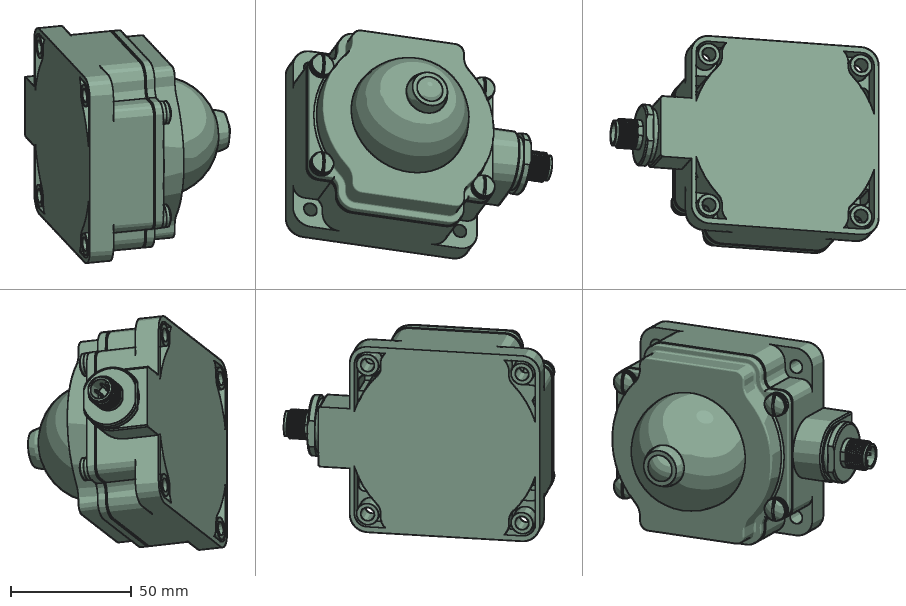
import cadquery as cq
import math


half_width = 40.0
half_height = 40.4
flange_corner_radius = 7.6
flange_thickness = 10.2
mount_hole_offset = 32.49
mount_hole_diameter = 5.7

rim_half = 38.0
rim_corner_radius = 5.5
pocket_depth = 8.0
spacer_diameter = 9.2
pocket_outline_growth = 2.6

cover_half_height = 37.5
shoulder_half_width = 20.3
shoulder_radius = 4.1
disc_radius = 37.3
throat_radius = 8.1

housing_growth = half_height - cover_half_height
seam_y = 27.7
seam_width = 0.5
seam_inset = 0.3
lid_bottom_y = seam_y + seam_width
lid_top_y = 32.0
lid_edge_fillet = 0.7
cover_top_y = 41.6
cover_edge_fillet = 0.8
cover_foot_fillet = 0.9

arm_radius = 4.9
screw_x = half_width - arm_radius
screw_z = 22.6
arm_half_height = screw_z + arm_radius
arm_wall = 2.3
arm_cavity_depth = 21.9
arm_cavity_inner_z = 18.4

screw_seat_radius = 4.8
screw_seat_y = 34.0
screw_seat_chamfer = 0.8
screw_head_radius = 4.7
screw_rim_y = 34.7
screw_top_y = 36.3
screw_slot_width = 0.9

dome_radius = 25.0
cap_radius = 8.7
cap_straight_y = 66.8
cap_shoulder_y = 70.1
cap_shoulder_radius = 7.6
cap_bulge_radius = 8.2
cap_bulge_y = 68.6
lens_radius = 5.6
total_depth = 72.3

connector_y = 14.7
block_half_height = 13.0
block_length = 13.2
block_chamfer = 0.7
block_overlap = 1.1
block_end_x = -half_width - block_length

seal_radius = 11.4
seal_bulge = 0.3
seal_length = 2.2
nut_radius = 12.7
nut_length = 3.1
nut_chamfer = 0.7
nut_flat_offset = 11.4
neck_radius = 6.1
neck_length = 2.1
stem_flat_offset = 5.8
thread_root_radius = 5.5
thread_pitch = 1.0
thread_turns = 8
tip_radius = 5.3
connector_end_x = half_width - 109.6
bore_radius = 4.2
bore_depth = 8.8
pin_count = 4
pin_circle_radius = 2.5
pin_radius = 0.49
pin_recess = 1.6
key_tip_radius = 3.1
key_angle = 135
key_half_width = 0.7


def plane_at(y):
    """Work plane facing the mounting side, drawn in X and Z at height y."""
    return cq.Workplane("XZ", origin=(0, y, 0))


def raise_between(y0, y1, draw):
    """Extrude the outline made by draw() from y0 to y1."""
    return draw(plane_at(y0)).extrude(y0 - y1)


def rounded_block(half_x, half_z, radius, y0, y1):
    block = raise_between(y0, y1, lambda wp: wp.rect(2 * half_x, 2 * half_z))
    return block.edges("|Y").fillet(radius)


def cylinder(radius, x, z, y0, y1):
    return raise_between(y0, y1, lambda wp: wp.center(x, z).circle(radius))


def at_corners(x, z):
    return [(sx * x, sz * z) for sx in (-1, 1) for sz in (-1, 1)]


def neck(growth, y0, y1):
    """Disc blended into the upper and lower blocks, offset outwards by growth."""
    top = cover_half_height + growth
    convex = shoulder_radius + growth
    concave = throat_radius - growth
    disc = disc_radius + growth
    shoulder_z = cover_half_height - shoulder_radius
    wall_x = shoulder_half_width + convex
    throat_x = wall_x + concave
    throat_z = math.sqrt((disc + concave) ** 2 - throat_x**2)
    throat_angle = math.atan2(throat_z, throat_x)
    mid_throat = math.pi + throat_angle / 2
    diagonal = math.sqrt(0.5)

    def on_disc(angle):
        return (disc * math.cos(angle), disc * math.sin(angle))

    def quadrant(wp):
        return (
            wp.moveTo(0, 0)
            .lineTo(0, top)
            .lineTo(shoulder_half_width, top)
            .threePointArc(
                (shoulder_half_width + convex * diagonal, shoulder_z + convex * diagonal),
                (wall_x, shoulder_z),
            )
            .lineTo(wall_x, throat_z)
            .threePointArc(
                (throat_x + concave * math.cos(mid_throat), throat_z + concave * math.sin(mid_throat)),
                on_disc(throat_angle),
            )
            .threePointArc(on_disc(throat_angle / 2), on_disc(0))
            .close()
        )

    quarter = raise_between(y0, y1, quadrant)
    half = quarter.union(quarter.mirror("YZ"))
    return half.union(half.mirror("XY")).clean()


def housing_layer(inset, y0, y1):
    """Neck outline together with the four screw arms."""
    arms = rounded_block(half_width - inset, arm_half_height - inset, arm_radius - inset, y0, y1)
    sides = raise_between(y0, y1, lambda wp: wp.rect(2 * (half_width - inset), 2 * half_height))
    return neck(housing_growth - inset, y0, y1).intersect(sides).union(arms).clean()


def make_flange():
    return rounded_block(half_width, half_height, flange_corner_radius, 0, flange_thickness)


def make_housing():
    seam = housing_layer(seam_inset, seam_y, lid_bottom_y)
    return housing_layer(0, flange_thickness, seam_y).union(seam)


def lid_ledge(solid):
    """Flat top of the lid, a ring-shaped face around the cover."""
    return solid.faces(cq.selectors.NearestToPointSelector((0, lid_top_y, 0))).val()


def make_cover():
    """Lid with the raised cover on it, rounded at both rims and at the cover's foot."""
    lid = housing_layer(0, lid_bottom_y, lid_top_y)
    cover = lid.union(neck(0, lid_top_y, cover_top_y))
    cover_foot = lid_ledge(cover).innerWires()[0]
    cover = cover.newObject(cover_foot.Edges()).fillet(cover_foot_fillet)
    cover = cover.faces(">Y").edges().fillet(cover_edge_fillet)
    lid_rim = lid_ledge(cover).outerWire()
    return cover.newObject(lid_rim.Edges()).fillet(lid_edge_fillet)


def make_dome():
    """Half ball with a stepped cap, turned about the Y axis."""
    ball_angle = math.asin(cap_radius / dome_radius)
    ball_mid = (math.pi / 2 - ball_angle) / 2
    lens_rise = total_depth - cap_shoulder_y
    lens_sphere = (lens_radius**2 + lens_rise**2) / (2 * lens_rise)
    lens_mid = math.asin(lens_radius / lens_sphere) / 2
    lens_centre_y = total_depth - lens_sphere
    return (
        cq.Workplane("XY")
        .moveTo(0, lid_top_y)
        .lineTo(dome_radius, lid_top_y)
        .lineTo(dome_radius, cover_top_y)
        .threePointArc(
            (dome_radius * math.cos(ball_mid), cover_top_y + dome_radius * math.sin(ball_mid)),
            (cap_radius, cover_top_y + dome_radius * math.cos(ball_angle)),
        )
        .lineTo(cap_radius, cap_straight_y)
        .threePointArc((cap_bulge_radius, cap_bulge_y), (cap_shoulder_radius, cap_shoulder_y))
        .lineTo(lens_radius, cap_shoulder_y)
        .threePointArc(
            (lens_sphere * math.sin(lens_mid), lens_centre_y + lens_sphere * math.cos(lens_mid)),
            (0, total_depth),
        )
        .close()
        .revolve(360, (0, 0), (0, 1))
    )


def make_lid_screw(x, z):
    """Screw seat on the arm with a slotted, domed head on top."""
    seat = cylinder(screw_seat_radius, x, z, lid_top_y - lid_edge_fillet, screw_seat_y)
    seat = seat.faces(">Y").edges().chamfer(screw_seat_chamfer)
    rise = screw_top_y - screw_rim_y
    sphere_radius = (screw_head_radius**2 + rise**2) / (2 * rise)
    sphere = cq.Workplane("XY").sphere(sphere_radius).translate((x, screw_top_y - sphere_radius, z))
    head = cylinder(screw_head_radius, x, z, lid_top_y, screw_top_y).intersect(sphere)
    slot = cq.Workplane("XY").box(screw_slot_width, 2 * rise, 2 * arm_radius).translate((x, screw_top_y, z))
    return seat.union(head.cut(slot))


def make_corner_pockets():
    """Recesses between the rim and the neck, with deeper cavities in the arms."""
    core = neck(pocket_outline_growth, 0, arm_cavity_depth)
    pockets = rounded_block(rim_half, rim_half, rim_corner_radius, 0, pocket_depth)
    for x, z in at_corners(mount_hole_offset, mount_hole_offset):
        pockets = pockets.cut(cylinder(spacer_diameter / 2, x, z, 0, pocket_depth))
    cavities = rounded_block(
        half_width - arm_wall,
        arm_half_height - arm_wall,
        arm_radius - arm_wall,
        pocket_depth,
        arm_cavity_depth,
    )
    between = raise_between(
        pocket_depth, arm_cavity_depth, lambda wp: wp.rect(2 * half_width, 2 * arm_cavity_inner_z)
    )
    cavities = cavities.cut(between)
    return pockets.union(cavities).cut(core)


def make_connector_block():
    """Arched block joining the flange to the plug."""
    block = (
        cq.Workplane("YZ", origin=(block_end_x, 0, 0))
        .moveTo(0, -block_half_height)
        .lineTo(connector_y, -block_half_height)
        .threePointArc((connector_y + block_half_height, 0), (connector_y, block_half_height))
        .lineTo(0, block_half_height)
        .close()
        .extrude(block_length + block_overlap)
    )
    return block.faces("<X").edges("not <Y").chamfer(block_chamfer)


def turned(points):
    """Revolve a closed (x, radius) outline about the connector axis."""
    return cq.Workplane("XY", origin=(0, connector_y, 0)).polyline(points).close().revolve(360, (0, 0), (1, 0))


def with_flats(body, offset):
    """Trim a turned body to two flats facing -Y and +Y."""
    size = body.val().BoundingBox()
    keeper = cq.Workplane("XY").box(size.xlen, 2 * offset, size.zlen)
    return body.intersect(keeper.translate(size.center))


def make_seal_and_nut():
    nut_back_x = block_end_x - seal_length
    nut_front_x = nut_back_x - nut_length
    seal_edge_radius = seal_radius - seal_bulge
    seal = (
        cq.Workplane("XY", origin=(0, connector_y, 0))
        .moveTo(block_end_x, 0)
        .lineTo(block_end_x, seal_edge_radius)
        .threePointArc((block_end_x - seal_length / 2, seal_radius), (nut_back_x, seal_edge_radius))
        .lineTo(nut_back_x, 0)
        .close()
        .revolve(360, (0, 0), (1, 0))
    )
    nut = turned(
        [
            (nut_back_x, 0),
            (nut_back_x, nut_radius),
            (nut_front_x + nut_chamfer, nut_radius),
            (nut_front_x, nut_radius - nut_chamfer),
            (nut_front_x, 0),
        ]
    )
    return seal.union(with_flats(nut, nut_flat_offset))


def make_stem():
    """Neck, thread ridges and plain tip, flattened on two sides."""
    neck_back_x = block_end_x - seal_length - nut_length
    thread_x = neck_back_x - neck_length
    outline = [(neck_back_x, 0), (neck_back_x, neck_radius), (thread_x, neck_radius)]
    for turn in range(thread_turns):
        root_x = thread_x - (turn + 0.5) * thread_pitch
        outline.append((root_x, thread_root_radius))
        if turn < thread_turns - 1:
            outline.append((root_x - thread_pitch / 2, neck_radius))
    thread_end_x = thread_x - thread_turns * thread_pitch
    outline += [
        (thread_end_x, tip_radius),
        (connector_end_x, tip_radius),
        (connector_end_x, 0),
    ]
    return with_flats(turned(outline), stem_flat_offset)


def make_socket():
    """Bore of the plug, leaving the coding key and the contact pins."""

    def rod(radius, y, z, start_x, length):
        return cq.Workplane("YZ", origin=(start_x, y, z)).circle(radius).extrude(length)

    bore = rod(bore_radius, connector_y, 0, connector_end_x, bore_depth)
    for index in range(pin_count):
        angle = 2 * math.pi * index / pin_count
        pin_y = connector_y + pin_circle_radius * math.cos(angle)
        pin_z = pin_circle_radius * math.sin(angle)
        bore = bore.cut(rod(pin_radius, pin_y, pin_z, connector_end_x + pin_recess, bore_depth))
    key_length = bore_radius - key_tip_radius
    key = (
        cq.Workplane("YZ", origin=(connector_end_x + pin_recess, 0, 0))
        .center(key_tip_radius + key_length / 2, 0)
        .rect(key_length, 2 * key_half_width)
        .extrude(bore_depth)
        .rotate((0, 0, 0), (1, 0, 0), key_angle)
        .translate((0, connector_y, 0))
    )
    return bore.cut(key)


result = make_flange().union(make_housing()).union(make_cover()).union(make_dome())
for x, z in at_corners(screw_x, screw_z):
    result = result.union(make_lid_screw(x, z))
result = result.cut(make_corner_pockets())
for x, z in at_corners(mount_hole_offset, mount_hole_offset):
    result = result.cut(cylinder(mount_hole_diameter / 2, x, z, 0, flange_thickness))
result = result.union(make_connector_block()).union(make_seal_and_nut()).union(make_stem())
result = result.cut(make_socket())